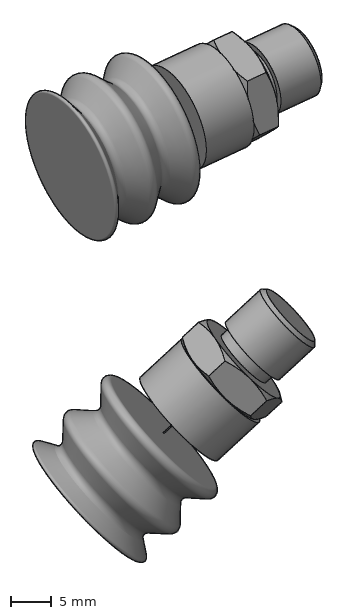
import cadquery as cq
import math


total_length = 34.5

thread_diameter = 9.73
thread_length = 6.5
thread_chamfer = 0.55
neck_diameter = 8.0
neck_length = 1.52
hex_across_flats = 13.0
hex_length = 3.95
hex_corner_angle = 51.2
hex_chamfer_angle = 30.0
body_diameter = 14.0
body_length = 7.07

cup_length = 12.87
cup_radius = 10.022
valley_radius = 7.55
lip_face_radius = 9.75
lip_peak_height = 0.25
lip_flank_start = 0.52
lip_flank_radius = 9.85
lower_valley_start = 1.85
lower_valley_end = 3.1
middle_ridge_start = 5.15
middle_ridge_end = 6.35
upper_valley_start = 8.35
upper_valley_end = 9.6
fold_rise = 0.25
rim_round = 0.75

stem_diameter = 0.17

neck_top = total_length - thread_length
hex_top = neck_top - neck_length
hex_bottom = hex_top - hex_length
body_bottom = hex_bottom - body_length


def cylinder(diameter, start, length):
    """Cylinder on the Y axis, running from start toward +Y."""
    plane = cq.Workplane("XZ", origin=(0, start, 0))
    return plane.circle(diameter / 2).extrude(-length)


def revolve_profile(profile):
    """Revolve a closed (radius, y) profile about the Y axis."""
    return profile.close().revolve(360, (0, 0, 0), (0, 1, 0))


def make_hexagon():
    """Hexagon with its corners turned off by a cone at both ends."""
    flat_radius = hex_across_flats / 2
    corner_radius = flat_radius / math.cos(math.radians(30))
    prism = (
        cq.Workplane("XZ", origin=(0, hex_bottom, 0))
        .polygon(6, 2 * corner_radius)
        .extrude(-hex_length)
        .rotate((0, 0, 0), (0, 1, 0), -hex_corner_angle)
    )
    chamfer_depth = (corner_radius - flat_radius) * math.tan(math.radians(hex_chamfer_angle))
    envelope = revolve_profile(
        cq.Workplane("XY")
        .moveTo(0, hex_bottom)
        .lineTo(flat_radius, hex_bottom)
        .lineTo(corner_radius, hex_bottom + chamfer_depth)
        .lineTo(corner_radius, hex_top - chamfer_depth)
        .lineTo(flat_radius, hex_top)
        .lineTo(0, hex_top)
    )
    return prism.intersect(envelope)


def make_fitting():
    """Thread, undercut neck, hexagon and round body."""
    thread = cylinder(thread_diameter, neck_top, thread_length).faces(">Y").chamfer(thread_chamfer)
    neck = cylinder(neck_diameter, hex_top, neck_length)
    body = cylinder(body_diameter, body_bottom, body_length)
    return thread.union(neck).union(make_hexagon()).union(body)


def make_cup():
    """Bellows with a thin lip, two rounded valleys, a ridge and a rounded rim."""
    ridge_edge = cup_radius - fold_rise
    valley_edge = valley_radius + fold_rise
    rim_center_radius = cup_radius - rim_round
    rim_center_y = cup_length - rim_round
    rim_offset = rim_round * math.sin(math.radians(45))
    return revolve_profile(
        cq.Workplane("XY")
        .lineTo(lip_face_radius, 0)
        .threePointArc((cup_radius, lip_peak_height), (lip_flank_radius, lip_flank_start))
        .lineTo(valley_edge, lower_valley_start)
        .threePointArc(
            (valley_radius, (lower_valley_start + lower_valley_end) / 2),
            (valley_edge, lower_valley_end),
        )
        .lineTo(ridge_edge, middle_ridge_start)
        .threePointArc(
            (cup_radius, (middle_ridge_start + middle_ridge_end) / 2),
            (ridge_edge, middle_ridge_end),
        )
        .lineTo(valley_edge, upper_valley_start)
        .threePointArc(
            (valley_radius, (upper_valley_start + upper_valley_end) / 2),
            (valley_edge, upper_valley_end),
        )
        .lineTo(rim_center_radius + rim_offset, rim_center_y - rim_offset)
        .threePointArc((cup_radius, rim_center_y), (rim_center_radius, cup_length))
        .lineTo(0, cup_length)
    )


stem = cylinder(stem_diameter, cup_length, body_bottom - cup_length)
result = make_fitting().union(stem).union(make_cup())